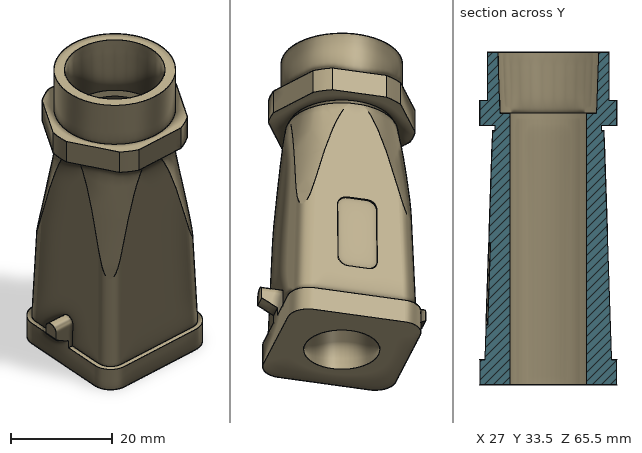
import cadquery as cq
import math

FLANGE_TOP = 5.0
BODY_TOP = 50.05
NUT_BOTTOM = 51.0
NUT_TOP = 56.0
TOTAL_HEIGHT = 65.5

FLANGE_WIDTH = 27.0
BODY_BOTTOM_WIDTH = 25.0
BODY_TOP_WIDTH = 22.0
BODY_CORNER_RADIUS = 3.2
FLANGE_CORNER_RADIUS = BODY_CORNER_RADIUS + (FLANGE_WIDTH - BODY_BOTTOM_WIDTH) / 2
BODY_SLOPE = (BODY_BOTTOM_WIDTH - BODY_TOP_WIDTH) / 2 / (BODY_TOP - FLANGE_TOP)

CONE_TOP_RADIUS = 11.1
CONE_HALF_ANGLE = 10.0

NECK_DIAMETER = 21.0
NUT_ACROSS_FLATS = FLANGE_WIDTH
NUT_CORNER_DIAMETER = 29.15
COLLAR_DIAMETER = 24.0
SOCKET_TOP_DIAMETER = 19.8
SOCKET_FLOOR_DIAMETER = 18.9
SOCKET_DEPTH = 12.0
BORE_DIAMETER = 15.0

PEG_WIDTH = 3.1
PEG_SPAN = 33.5
PEG_AXIS_HEIGHT = 9.95
PEG_TIP_BOTTOM = 8.4
PEG_ROOT_HEIGHT = 6.6

LABEL_WIDTH = 8.0
LABEL_LENGTH = 16.1
LABEL_CORNER_RADIUS = 2.0
LABEL_HEIGHT = 19.9
LABEL_DEPTH = 0.3


def cylinder(diameter, bottom, top):
    """Upright cylinder on the part's axis."""
    return cq.Workplane("XY").workplane(offset=bottom).circle(diameter / 2).extrude(top - bottom)


def cone(bottom_radius, top_radius, bottom, top):
    """Upright truncated cone on the part's axis."""
    solid = cq.Solid.makeCone(bottom_radius, top_radius, top - bottom, pnt=cq.Vector(0, 0, bottom))
    return cq.Workplane(obj=solid)


def make_flange():
    plate = cq.Workplane("XY").rect(FLANGE_WIDTH, FLANGE_WIDTH).extrude(FLANGE_TOP)
    return plate.edges("|Z").fillet(FLANGE_CORNER_RADIUS)


def make_body():
    """Drafted square tower with rounded corners that blend into a cone at the top."""
    height = BODY_TOP - FLANGE_TOP
    tower = (
        cq.Workplane("XY")
        .workplane(offset=FLANGE_TOP)
        .rect(BODY_BOTTOM_WIDTH, BODY_BOTTOM_WIDTH)
        .extrude(height, taper=math.degrees(math.atan(BODY_SLOPE)))
        .edges("not #Z")
        .fillet(BODY_CORNER_RADIUS)
    )
    cone_bottom_radius = CONE_TOP_RADIUS + height * math.tan(math.radians(CONE_HALF_ANGLE))
    return tower.intersect(cone(cone_bottom_radius, CONE_TOP_RADIUS, FLANGE_TOP, BODY_TOP))


def make_nut():
    """Hexagon with flats facing +X and -X, its corners turned down to a cylinder."""
    hexagon = (
        cq.Workplane("XY")
        .workplane(offset=NUT_BOTTOM)
        .polygon(6, NUT_ACROSS_FLATS, circumscribed=True)
        .extrude(NUT_TOP - NUT_BOTTOM)
    )
    return hexagon.intersect(cylinder(NUT_CORNER_DIAMETER, NUT_BOTTOM, NUT_TOP))


def make_pegs():
    """Round-topped bar through the body, cut away below each tip by a sloping underside."""
    radius = PEG_WIDTH / 2
    bar = (
        cq.Workplane("XZ")
        .moveTo(-radius, 0)
        .lineTo(radius, 0)
        .lineTo(radius, PEG_AXIS_HEIGHT)
        .threePointArc((0, PEG_AXIS_HEIGHT + radius), (-radius, PEG_AXIS_HEIGHT))
        .close()
        .extrude(PEG_SPAN / 2, both=True)
    )
    tip = PEG_SPAN / 2
    root = FLANGE_WIDTH / 2
    side_profile = (
        cq.Workplane("YZ")
        .polyline([
            (-root, 0),
            (root, 0),
            (root, PEG_ROOT_HEIGHT),
            (tip, PEG_TIP_BOTTOM),
            (tip, BODY_TOP),
            (-tip, BODY_TOP),
            (-tip, PEG_TIP_BOTTOM),
            (-root, PEG_ROOT_HEIGHT),
        ])
        .close()
        .extrude(radius, both=True)
    )
    return bar.intersect(side_profile)


def make_label_recess():
    """Rounded rectangular cutter that follows the drafted left face."""
    face_x = BODY_BOTTOM_WIDTH / 2 - BODY_SLOPE * (LABEL_HEIGHT - FLANGE_TOP)
    left_face = cq.Plane(
        origin=(-face_x, 0, LABEL_HEIGHT),
        xDir=(0, -1, 0),
        normal=(-1, 0, BODY_SLOPE),
    )
    block = cq.Workplane(left_face).rect(LABEL_WIDTH, LABEL_LENGTH).extrude(LABEL_DEPTH, both=True)
    corner_edges = cq.selectors.ParallelDirSelector(left_face.zDir)
    return block.edges(corner_edges).fillet(LABEL_CORNER_RADIUS)


def make_entry_cavity():
    """Tapered socket from the top, then a straight bore through to the base."""
    socket_floor = TOTAL_HEIGHT - SOCKET_DEPTH
    socket = cone(SOCKET_FLOOR_DIAMETER / 2, SOCKET_TOP_DIAMETER / 2, socket_floor, TOTAL_HEIGHT)
    return socket.union(cylinder(BORE_DIAMETER, 0, socket_floor))


result = (
    make_flange()
    .union(make_body())
    .union(make_pegs())
    .union(cylinder(NECK_DIAMETER, BODY_TOP, NUT_BOTTOM))
    .union(make_nut())
    .union(cylinder(COLLAR_DIAMETER, NUT_TOP, TOTAL_HEIGHT))
    .cut(make_label_recess())
    .cut(make_entry_cavity())
)